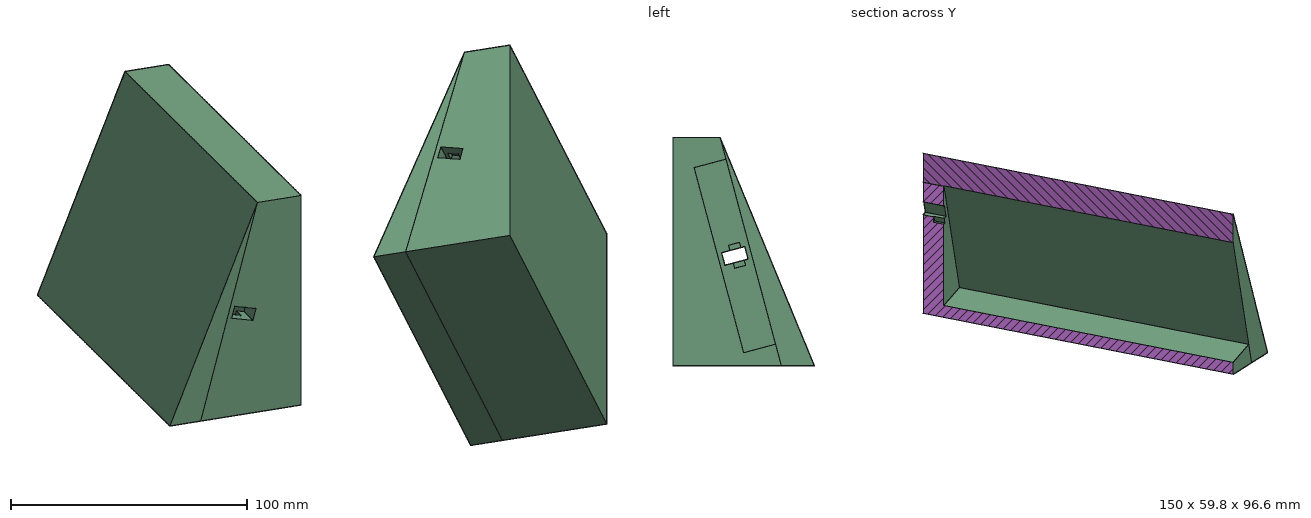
import cadquery as cq
import math

width = 150.0
depth = 59.8
height = 96.6
top_depth = 20.0
tilt_angle = 15.0

channel_length = 81.0
channel_depth = 14.0
end_wall = 10.0

opening_depth = 10.0
opening_length = 5.4
slot_depth = 4.8
slot_length = 10.0
slot_setback = 3.6
slot_sink = end_wall / 2

back_y = top_depth
front_y = top_depth - depth
parting_foot_y = -height * math.tan(math.radians(tilt_angle))
parting_length = height / math.cos(math.radians(tilt_angle))
wall_inner_x = width - end_wall


def extrude_profile(points):
    """Extrude a closed YZ outline over the full width."""
    return cq.Workplane("YZ").polyline(points).close().extrude(width)


def tilted_box(start_x, end_x, setback, box_depth, box_length):
    """Box square to the parting face, centred on its slope, set back behind it."""
    size_x = end_x - start_x
    box = cq.Workplane("XY").box(size_x, box_depth, box_length, centered=(False, False, True))
    placed = box.translate((start_x, setback, -parting_length / 2))
    return placed.rotate((0, 0, 0), (1, 0, 0), -tilt_angle).translate((0, 0, height))


def make_housing():
    """Rear body with the tilted channel and the opening in its end wall."""
    body = extrude_profile([(back_y, 0), (back_y, height), (0, height), (parting_foot_y, 0)])
    channel = tilted_box(0, wall_inner_x, 0, channel_depth, channel_length)
    opening_setback = (channel_depth - opening_depth) / 2
    opening = tilted_box(wall_inner_x, width, opening_setback, opening_depth, opening_length)
    slot = tilted_box(wall_inner_x, wall_inner_x + slot_sink, slot_setback, slot_depth, slot_length)
    return body.cut(channel).cut(opening).cut(slot)


def make_cover():
    """Front wedge that closes the channel and tapers to nothing at the top edge."""
    return extrude_profile([(0, height), (parting_foot_y, 0), (front_y, 0)])


housing = make_housing()
cover = make_cover()
result = cq.Compound.makeCompound([housing.val(), cover.val()])